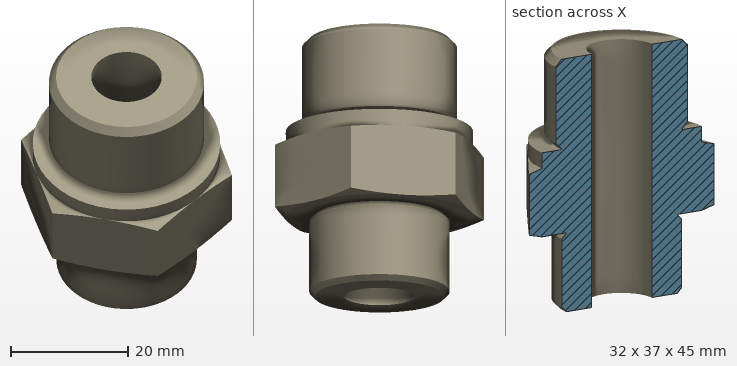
import cadquery as cq
import math

total_height = 45.0
hex_bottom = 14.0
hex_top = 26.2
collar_top = 29.0

across_flats = 32.0
upper_diameter = 26.45
lower_diameter = 24.0
bore_diameter = 12.0

upper_bevel = 1.2
lower_bevel = 0.9
corner_bevel_angle = 15.0

across_corners = across_flats / math.cos(math.radians(30))
corner_bevel_width = (across_corners - across_flats) / 2
corner_bevel_height = corner_bevel_width * math.tan(math.radians(corner_bevel_angle))


def beveled_cylinder(diameter, bottom, top, bevel):
    """Vertical cylinder with a 45 degree bevel on both ends."""
    cylinder = cq.Workplane("XY").workplane(offset=bottom).circle(diameter / 2).extrude(top - bottom)
    return cylinder.faces("<Z or >Z").edges().chamfer(bevel)


def hexagon_with_beveled_corners():
    """Hexagon with corners on the Y axis, trimmed by a cone at both ends."""
    height = hex_top - hex_bottom
    base = cq.Workplane("XY").workplane(offset=hex_bottom)
    prism = base.transformed(rotate=(0, 0, 90)).polygon(6, across_corners).extrude(height)
    flat_radius = across_flats / 2
    corner_radius = across_corners / 2
    envelope = (
        cq.Workplane("XZ")
        .moveTo(0, hex_bottom)
        .lineTo(flat_radius, hex_bottom)
        .lineTo(corner_radius, hex_bottom + corner_bevel_height)
        .lineTo(corner_radius, hex_top - corner_bevel_height)
        .lineTo(flat_radius, hex_top)
        .lineTo(0, hex_top)
        .close()
        .revolve(360, (0, 0, 0), (0, 1, 0))
    )
    return prism.intersect(envelope)


lower_spigot = beveled_cylinder(lower_diameter, 0, hex_bottom, lower_bevel)
upper_spigot = beveled_cylinder(upper_diameter, collar_top, total_height, upper_bevel)
collar = cq.Workplane("XY").workplane(offset=hex_top).circle(across_flats / 2).extrude(collar_top - hex_top)
bore = cq.Workplane("XY").circle(bore_diameter / 2).extrude(total_height)

result = (
    hexagon_with_beveled_corners()
    .union(collar)
    .union(lower_spigot)
    .union(upper_spigot)
    .cut(bore)
)